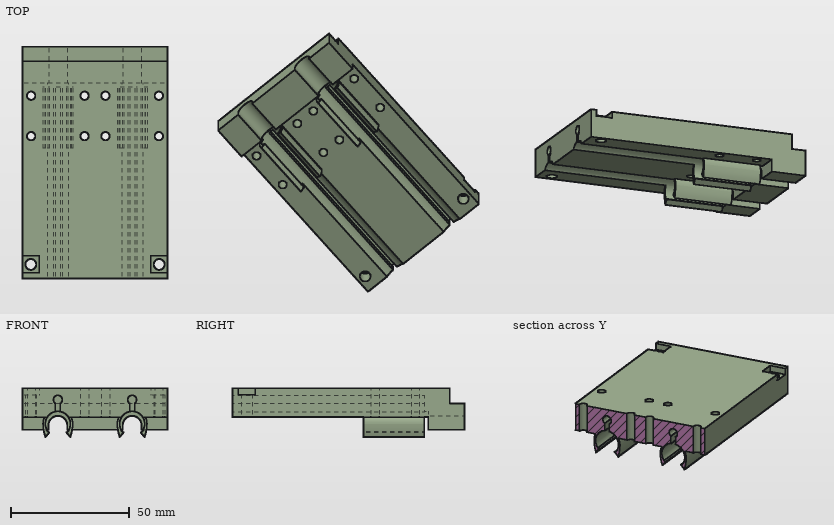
import cadquery as cq
import math

LENGTH = 97.75
WIDTH = 61.2
HEIGHT = 20.6
PLATE_THICKNESS = 12.2
BLOCK_DEPTH = 17.6
BLOCK_LENGTH = 15.3
LEDGE_LENGTH = 6.2
LEDGE_DROP = 6.5
PLATE_BOTTOM = HEIGHT - PLATE_THICKNESS
BLOCK_BOTTOM = HEIGHT - BLOCK_DEPTH
BLOCK_FRONT = LENGTH - BLOCK_LENGTH

HOLE_DIAMETER = 3.4
HOLE_OUTER_X = 26.9
HOLE_INNER_X = 4.4
HOLE_ROWS_Y = (60.0, 77.0)

POCKET_SIZE = 7.1
POCKET_DEPTH = 2.7
POCKET_FRONT = 2.4
SCREW_DIAMETER = 4.5

CLIP_FRONT = 55.1
CLIP_LENGTH = 25.7
CLIP_OUTER_RADIUS = 6.3
CLIP_TIP_X = 5.3
CLIP_BARB_X = 3.5
CLIP_BARB_Z = 2.0
CLIP_NECK_Z = 2.4

RAIL_X = 15.6
GROOVE_RADIUS = 5.3
GROOVE_CENTRE_Z = HEIGHT - 15.1
KEYHOLE_DIAMETER = 3.7
KEYHOLE_CENTRE_Z = HEIGHT - 4.9
KEYHOLE_SLOT_WIDTH = 2.1
KEYHOLE_LENGTH = CLIP_FRONT + CLIP_LENGTH
CHANNEL_RADIUS = 3.9
CHANNEL_CENTRE_Z = HEIGHT - 15.6


def circle_x(radius, height):
    """Half width of a circle at a height above or below its centre."""
    return math.sqrt(radius**2 - height**2)


def section_plane(y):
    """Vertical XZ plane at the given Y; extruding by a negative length runs towards +Y."""
    return cq.Workplane("XZ", origin=(0, y, 0))


def make_body():
    side_profile = [
        (0, HEIGHT),
        (0, PLATE_BOTTOM),
        (BLOCK_FRONT, PLATE_BOTTOM),
        (BLOCK_FRONT, BLOCK_BOTTOM),
        (LENGTH, BLOCK_BOTTOM),
        (LENGTH, HEIGHT - LEDGE_DROP),
        (LENGTH - LEDGE_LENGTH, HEIGHT - LEDGE_DROP),
        (LENGTH - LEDGE_LENGTH, HEIGHT),
    ]
    return cq.Workplane("YZ").polyline(side_profile).close().extrude(WIDTH / 2, both=True)


def cut_small_holes(body):
    columns = (-HOLE_OUTER_X, -HOLE_INNER_X, HOLE_INNER_X, HOLE_OUTER_X)
    places = [(x, y) for x in columns for y in HOLE_ROWS_Y]
    holes = cq.Workplane("XY").pushPoints(places).circle(HOLE_DIAMETER / 2).extrude(HEIGHT)
    return body.cut(holes)


def cut_screw_pockets(body):
    x = (WIDTH - POCKET_SIZE) / 2
    y = POCKET_FRONT + POCKET_SIZE / 2
    places = [(-x, y), (x, y)]
    pockets = (
        cq.Workplane("XY", origin=(0, 0, HEIGHT - POCKET_DEPTH))
        .pushPoints(places)
        .rect(POCKET_SIZE, POCKET_SIZE)
        .extrude(POCKET_DEPTH)
    )
    holes = cq.Workplane("XY").pushPoints(places).circle(SCREW_DIAMETER / 2).extrude(HEIGHT)
    return body.cut(pockets).cut(holes)


def make_rail_cutter(x):
    """Groove up to the rear block, shorter keyhole above it, then the channel through the block."""
    front = section_plane(0)
    slot_height = KEYHOLE_CENTRE_Z - GROOVE_CENTRE_Z
    slot_centre_z = GROOVE_CENTRE_Z + slot_height / 2

    groove = front.moveTo(x, GROOVE_CENTRE_Z).circle(GROOVE_RADIUS).extrude(-BLOCK_FRONT)
    keyhole = front.moveTo(x, KEYHOLE_CENTRE_Z).circle(KEYHOLE_DIAMETER / 2).extrude(-KEYHOLE_LENGTH)
    slot = front.moveTo(x, slot_centre_z).rect(KEYHOLE_SLOT_WIDTH, slot_height).extrude(-KEYHOLE_LENGTH)
    channel = (
        section_plane(BLOCK_FRONT)
        .moveTo(x - CHANNEL_RADIUS, BLOCK_BOTTOM)
        .lineTo(x - CHANNEL_RADIUS, CHANNEL_CENTRE_Z)
        .threePointArc((x, CHANNEL_CENTRE_Z + CHANNEL_RADIUS), (x + CHANNEL_RADIUS, CHANNEL_CENTRE_Z))
        .lineTo(x + CHANNEL_RADIUS, BLOCK_BOTTOM)
        .close()
        .extrude(-BLOCK_LENGTH)
    )
    return groove.union(keyhole).union(slot).union(channel)


def make_clip_arm():
    """Barbed arm on the +X side of a groove centred at X = 0."""
    root_height = PLATE_BOTTOM - GROOVE_CENTRE_Z
    mid_height = root_height / 2
    neck_height = CLIP_NECK_Z - GROOVE_CENTRE_Z
    inner_root = (circle_x(GROOVE_RADIUS, root_height), PLATE_BOTTOM)
    outer_root = (circle_x(CLIP_OUTER_RADIUS, root_height), PLATE_BOTTOM)
    outer_middle = (circle_x(CLIP_OUTER_RADIUS, mid_height), GROOVE_CENTRE_Z + mid_height)

    return (
        section_plane(CLIP_FRONT)
        .moveTo(*inner_root)
        .lineTo(*outer_root)
        .threePointArc(outer_middle, (CLIP_OUTER_RADIUS, GROOVE_CENTRE_Z))
        .tangentArcPoint((CLIP_TIP_X, 0), relative=False)
        .lineTo(CLIP_BARB_X, CLIP_BARB_Z)
        .lineTo(circle_x(GROOVE_RADIUS, neck_height), CLIP_NECK_Z)
        .threePointArc((GROOVE_RADIUS, GROOVE_CENTRE_Z), inner_root)
        .close()
        .extrude(-CLIP_LENGTH)
    )


result = cut_screw_pockets(cut_small_holes(make_body()))
clip_arm = make_clip_arm()
clip_arms = (clip_arm, clip_arm.mirror("YZ"))
rail_places = (-RAIL_X, RAIL_X)
for rail_x in rail_places:
    result = result.cut(make_rail_cutter(rail_x))
for rail_x in rail_places:
    for arm in clip_arms:
        result = result.union(arm.translate((rail_x, 0, 0)), clean=False)